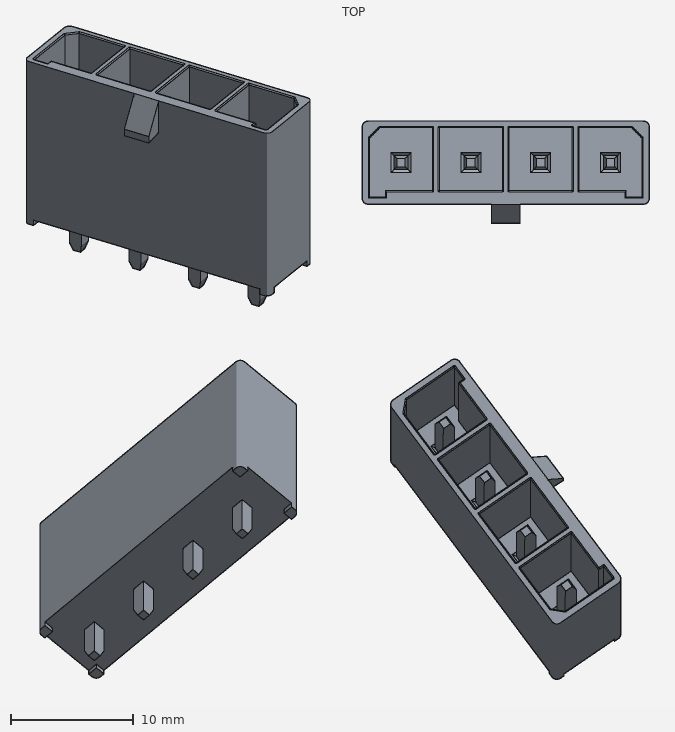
import cadquery as cq

length = 23.45
width = 6.8
height = 15.3
corner_radius = 0.5
foot_length = 0.9
foot_width = 0.87
foot_height = 0.52

pitch = 5.7
circuits = 4
cavity_size = 5.14
cavity_center_y = 0.28
cavity_depth = 10.55
rim_chamfer = 0.1
corner_cut = 0.85
key_length = 1.3
key_depth = 0.52

pin_size = 1.15
pin_tip_size = 0.68
pin_tip_height = 0.75
pin_below_feet = 3.21
pin_top_below_rim = 3.52
funnel_size = 1.62

latch_width = 2.35
latch_reach = 1.55
latch_ramp_drop = 2.6
latch_tip_bottom_drop = 3.21
latch_root_bottom_drop = 2.98

floor_z = height - cavity_depth
pin_xs = [(i - (circuits - 1) / 2) * pitch for i in range(circuits)]


def base_block(size_x, size_y, size_z):
    """Box centred in X and Y that stands on Z = 0."""
    return cq.Workplane("XY").box(size_x, size_y, size_z, centered=(True, True, False))


def make_housing():
    """Rounded block standing on four corner feet."""
    block = base_block(length, width, height)
    block = block.edges("|Z").fillet(corner_radius)
    along_x = base_block(length - 2 * foot_length, width, foot_height)
    along_y = base_block(length, width - 2 * foot_width, foot_height)
    return block.cut(along_x).cut(along_y)


def cavity_outline(x, side):
    """Points of one cavity; side is -1 or 1 for the keyed end cavities and 0 for the inner ones."""
    half = cavity_size / 2
    back = cavity_center_y + half
    front = cavity_center_y - half
    if side == 0:
        return [(x - half, front), (x + half, front), (x + half, back), (x - half, back)]
    inner = x - side * half
    outer = x + side * half
    key_inner = outer - side * key_length
    return [
        (inner, back),
        (inner, front),
        (key_inner, front),
        (key_inner, front - key_depth),
        (outer, front - key_depth),
        (outer, back - corner_cut),
        (outer - side * corner_cut, back),
    ]


def make_cavity(x, side):
    """Straight pocket that flares at 45 degrees to the rim."""
    outline = cavity_outline(x, side)
    pocket = cq.Workplane("XY").workplane(offset=floor_z).polyline(outline).close().extrude(cavity_depth)
    flare = (
        cq.Workplane("XY").workplane(offset=height - rim_chamfer)
        .polyline(outline).close().extrude(rim_chamfer, taper=-45)
    )
    return pocket.union(flare)


def square_frustum(x, z_start, size_start, z_end, size_end):
    """Square taper on the pin axis at x, between two heights."""
    return (
        cq.Workplane("XY", origin=(x, 0, z_start)).rect(size_start, size_start)
        .workplane(offset=z_end - z_start).rect(size_end, size_end)
        .loft(ruled=True)
    )


def make_funnel(x):
    funnel_depth = (funnel_size - pin_size) / 2
    return square_frustum(x, floor_z - funnel_depth, pin_size, floor_z, funnel_size)


def make_pin(x):
    bottom = -pin_below_feet
    top = height - pin_top_below_rim
    shank_bottom = bottom + pin_tip_height
    shank_top = top - pin_tip_height
    shank = square_frustum(x, shank_bottom, pin_size, shank_top, pin_size)
    lower_tip = square_frustum(x, bottom, pin_tip_size, shank_bottom, pin_size)
    upper_tip = square_frustum(x, shank_top, pin_size, top, pin_tip_size)
    return shank.union(lower_tip).union(upper_tip)


def make_latch():
    """Ramp that starts at the rim and ends in an undercut catch."""
    wall_y = -width / 2
    tip_y = wall_y - latch_reach
    return (
        cq.Workplane("YZ")
        .polyline([
            (wall_y, height),
            (tip_y, height - latch_ramp_drop),
            (tip_y, height - latch_tip_bottom_drop),
            (wall_y, height - latch_root_bottom_drop),
        ])
        .close().extrude(latch_width / 2, both=True)
    )


result = make_housing()
for index, pin_x in enumerate(pin_xs):
    key_side = {0: -1, circuits - 1: 1}.get(index, 0)
    result = result.cut(make_cavity(pin_x, key_side)).cut(make_funnel(pin_x)).union(make_pin(pin_x))
result = result.union(make_latch())